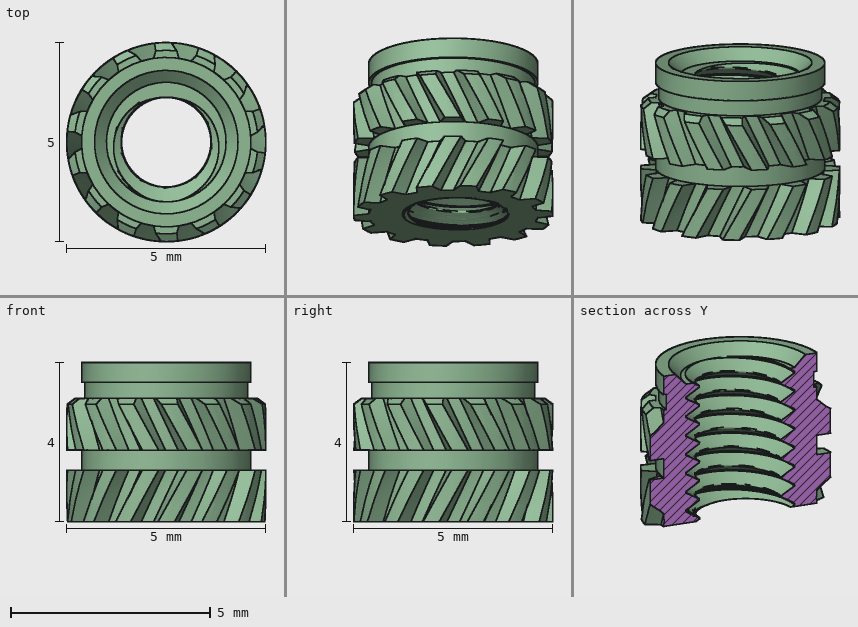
import cadquery as cq
import math

knurl_height = 1.3
waist_height = 0.5
neck_height = 0.4
collar_height = 0.5
waist_bottom = knurl_height
upper_knurl_bottom = waist_bottom + waist_height
neck_bottom = upper_knurl_bottom + knurl_height
collar_bottom = neck_bottom + neck_height
total_height = collar_bottom + collar_height

knurl_radius = 5.0 / 2
collar_radius = 4.25 / 2
neck_radius = 4.1 / 2

tooth_count = 14
tooth_pitch = 360 / tooth_count
tooth_tip_angle = 9.5
groove_floor_angle = 8.6
groove_floor_radius = collar_radius
knurl_twist = 16.6
lead_in_radial = 0.2
lead_in_height = 0.15

bore_radius = 2.26 / 2
thread_root_radius = 3.0 / 2
thread_pitch = 0.5
thread_half_angle = 30
thread_root_flat = 0.035
thread_root_angle = 270
countersink_depth = 0.3
countersink_radius = thread_root_radius + countersink_depth
countersink_floor = total_height - countersink_depth

sleeve_radius = (neck_radius + countersink_radius) / 2
joint_tolerance = 0.001
overlap = 0.05
flank_points = 8


def cylinder(radius, bottom, height):
    return cq.Workplane("XY").workplane(offset=bottom).circle(radius).extrude(height)


def polar(radius, angle):
    turn = math.radians(angle)
    return (radius * math.cos(turn), radius * math.sin(turn))


def knurl_band(twist):
    """Toothed ring on the XY plane whose teeth turn by `twist` degrees over its height."""
    half_tip = tooth_tip_angle / 2
    half_floor = groove_floor_angle / 2
    first_tooth = tooth_pitch / 2
    outline = cq.Workplane("XY").moveTo(*polar(groove_floor_radius, half_floor))
    for tooth in range(tooth_count):
        middle = first_tooth + tooth * tooth_pitch
        next_groove = middle + first_tooth
        outline = outline.lineTo(*polar(knurl_radius, middle - half_tip))
        outline = outline.threePointArc(
            polar(knurl_radius, middle), polar(knurl_radius, middle + half_tip)
        )
        outline = outline.lineTo(*polar(groove_floor_radius, next_groove - half_floor))
        if tooth < tooth_count - 1:
            outline = outline.lineTo(*polar(groove_floor_radius, next_groove + half_floor))
    return outline.close().twistExtrude(knurl_height, twist)


def lower_knurl():
    return knurl_band(knurl_twist)


def upper_knurl():
    """Teeth of opposite hand, bevelled at the top to lead the insert into its hole."""
    band = knurl_band(-knurl_twist).rotate((0, 0, 0), (0, 0, 1), knurl_twist)
    band = band.translate((0, 0, upper_knurl_bottom))
    envelope = (
        cq.Workplane("XZ")
        .moveTo(0, upper_knurl_bottom)
        .lineTo(knurl_radius, upper_knurl_bottom)
        .lineTo(knurl_radius, neck_bottom - lead_in_height)
        .lineTo(knurl_radius - lead_in_radial, neck_bottom)
        .lineTo(0, neck_bottom)
        .close()
        .revolve(360, (0, 0, 0), (0, 1, 0))
    )
    return band.intersect(envelope)


def countersink_cutter():
    """45 degree cone narrowing to the thread root radius at its flat floor."""
    return (
        cq.Workplane("XY")
        .workplane(offset=countersink_floor)
        .circle(thread_root_radius)
        .workplane(offset=countersink_depth)
        .circle(countersink_radius)
        .loft()
    )


def threaded_bore_cutter():
    """Right-hand threaded bore: one level slice of the thread, twisted a full turn per pitch.

    In the slice the root and the crest are arcs, and each flank is a spiral between them.
    """
    thread_depth = thread_root_radius - bore_radius
    flank_height = thread_depth * math.tan(math.radians(thread_half_angle))
    degrees_per_height = 360 / thread_pitch
    half_root_angle = thread_root_flat / 2 * degrees_per_height
    flank_angle = flank_height * degrees_per_height
    crest_start = half_root_angle + flank_angle
    crest_middle = 180

    def rising_flank(fraction):
        radius = thread_root_radius - thread_depth * fraction
        return (*polar(radius, half_root_angle + flank_angle * fraction), 0)

    def falling_flank(fraction):
        radius = bore_radius + thread_depth * fraction
        return (*polar(radius, flank_angle * fraction - crest_start), 0)

    thread_slice = (
        cq.Workplane("XY")
        .moveTo(*polar(thread_root_radius, -half_root_angle))
        .threePointArc(polar(thread_root_radius, 0), polar(thread_root_radius, half_root_angle))
        .parametricCurve(rising_flank, N=flank_points, makeWire=False)
        .threePointArc(polar(bore_radius, crest_middle), polar(bore_radius, -crest_start))
        .parametricCurve(falling_flank, N=flank_points, makeWire=False)
        .wire()
    )
    length = countersink_floor + overlap
    twist = length * degrees_per_height
    bore = thread_slice.twistExtrude(length, twist)
    bore = bore.rotate((0, 0, 0), (0, 0, 1), thread_root_angle - twist)
    return bore.translate((0, 0, -overlap))


def knurled_shell():
    """Everything outside the sleeve radius: knurls, waist, neck and collar."""
    shell = cylinder(neck_radius, 0, total_height)
    shell = shell.union(cylinder(collar_radius, waist_bottom, waist_height))
    shell = shell.union(cylinder(collar_radius, collar_bottom, collar_height))
    shell = shell.union(lower_knurl()).union(upper_knurl())
    return shell.cut(cylinder(sleeve_radius, 0, total_height))


def threaded_sleeve():
    """Everything inside the sleeve radius: countersink and threaded bore."""
    sleeve = cylinder(sleeve_radius, 0, total_height)
    return sleeve.cut(countersink_cutter()).cut(threaded_bore_cutter())


def is_joint(face):
    """True for the cylinder where the sleeve and the knurled shell touch."""
    if face.geomType() != "CYLINDER":
        return False
    return abs(face.BoundingBox().xmax - sleeve_radius) < joint_tolerance


skin = [
    face
    for half in (knurled_shell(), threaded_sleeve())
    for face in half.faces().vals()
    if not is_joint(face)
]
solid = cq.Solid.makeSolid(cq.Shell.makeShell(skin))
result = cq.Workplane(obj=solid).clean()